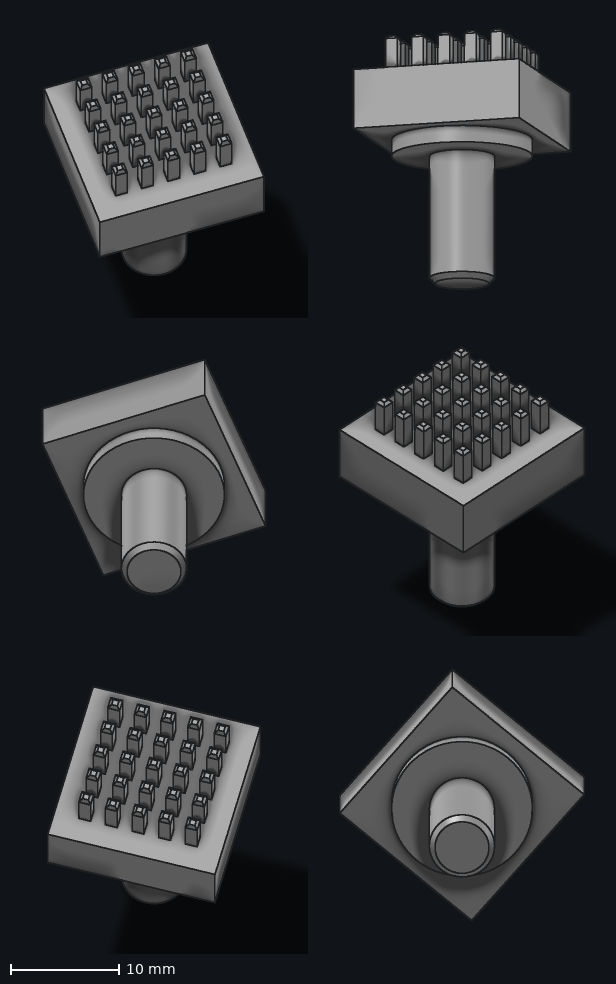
import cadquery as cq

total_height = 22.6

block_side = 16.0
block_height = 5.55

pins_per_side = 5
pin_grid_span = 10.17
pin_pitch = pin_grid_span / (pins_per_side - 1)
pin_side = 1.13
pin_height = 3.5
pin_tip_chamfer = 0.3

flange_diameter = 13.0
flange_height = 1.54
stem_diameter = 6.01
stem_chamfer = 0.52
stem_length = total_height - pin_height - block_height - flange_height

flange_bottom = stem_length
block_bottom = flange_bottom + flange_height
block_top = block_bottom + block_height


def make_stem():
    """Round stem with a chamfered free end."""
    stem = cq.Workplane("XY").circle(stem_diameter / 2).extrude(stem_length)
    return stem.faces("<Z").chamfer(stem_chamfer)


def make_flange():
    """Round flange between the stem and the block."""
    return (
        cq.Workplane("XY", origin=(0, 0, flange_bottom))
        .circle(flange_diameter / 2)
        .extrude(flange_height)
    )


def make_block():
    """Square block that carries the pins."""
    return (
        cq.Workplane("XY", origin=(0, 0, block_bottom))
        .rect(block_side, block_side)
        .extrude(block_height)
    )


def make_pins():
    """Square grid of square pins with chamfered tips."""
    return (
        cq.Workplane("XY", origin=(0, 0, block_top))
        .rarray(pin_pitch, pin_pitch, pins_per_side, pins_per_side)
        .rect(pin_side, pin_side)
        .extrude(pin_height)
        .faces(">Z")
        .chamfer(pin_tip_chamfer)
    )


result = make_stem().union(make_flange()).union(make_block()).union(make_pins())